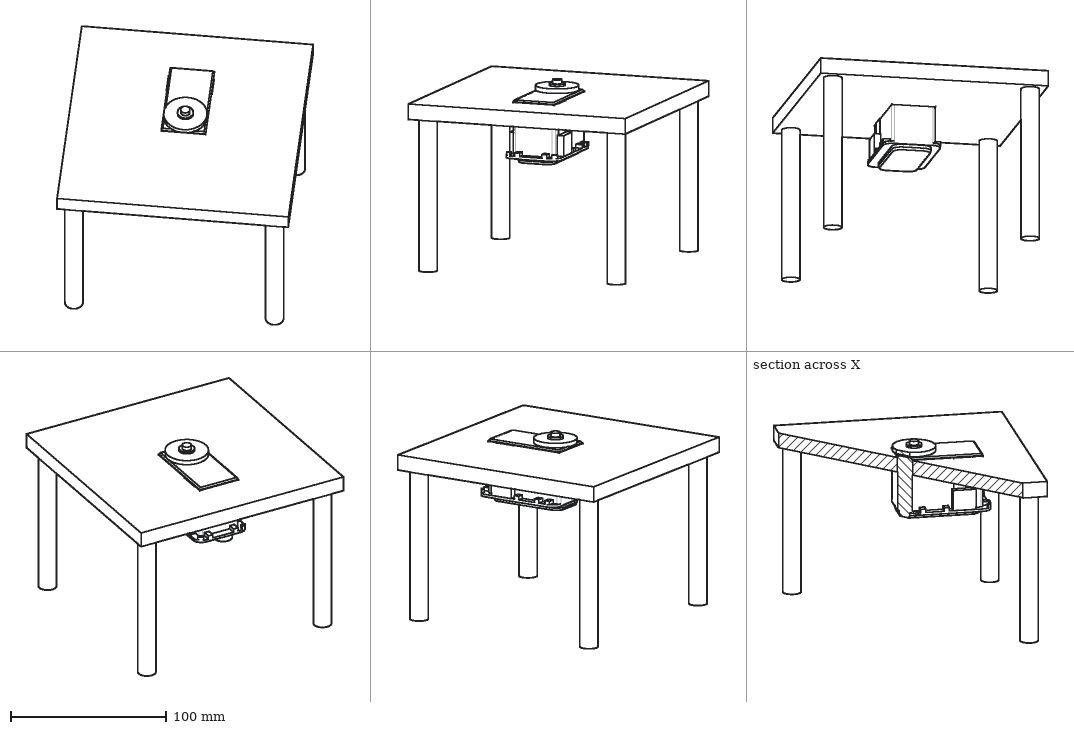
import cadquery as cq
import math

TURN = -45

TABLE_DIAGONAL = 212.1
TABLE_SIDE = TABLE_DIAGONAL / math.sqrt(2)
TOP_THICKNESS = 10.2
LEG_LENGTH = 100.0
LEG_RADIUS = 6.0
LEG_INSET = 10.0
TABLE_HEIGHT = LEG_LENGTH + TOP_THICKNESS

CASE_LENGTH = 54.7
CASE_WIDTH = 28.8
CASE_CENTER_X = -17.6
CASE_CORNER_RADIUS = 1.7
CASE_TOP_CHAMFER = 1.0
CASE_RISE = 1.5
CASE_TOP = TABLE_HEIGHT + CASE_RISE
CASE_BACK = CASE_CENTER_X - CASE_LENGTH / 2

FLANGE_BOTTOM = 74.0
FLANGE_THICKNESS = 1.7
FLANGE_TOP = FLANGE_BOTTOM + FLANGE_THICKNESS
FLANGE_SIDE_MARGIN = 4.5
FLANGE_BACK_MARGIN = 5.0
FLANGE_WIDTH = CASE_WIDTH + 2 * FLANGE_SIDE_MARGIN
FLANGE_LENGTH = CASE_LENGTH + FLANGE_BACK_MARGIN
FLANGE_BACK = CASE_BACK - FLANGE_BACK_MARGIN
CORNER_RADIUS = 6.4

COVER_LENGTH = 53
COVER_WIDTH = 25.9
COVER_HEIGHT = 3.6
COVER_CHAMFER_HEIGHT = 1.7
COVER_CHAMFER_INSET = 0.6

BLOCK_CENTER_X = -31.8
BLOCK_LENGTH = 15.0
BLOCK_PROJECTION = 4.2
BLOCK_TOP = 89.3
RIB_LENGTH = 12.5
RIB_PROJECTION = 0.5

TAB_HEIGHT = 2.3
TAB_LENGTH = 3.5
SIDE_TAB_CENTERS = (-20.2, -4.7, 3.5)
BACK_TAB_OFFSET = 9.3
CORNER_TAB_DEPTH = 2.5
CORNER_TAB_WIDTH = 4.5

SHAFT_X = -2.3
NECK_HEIGHT = 0.6
HORN_RADIUS = 14.0
HORN_THICKNESS = 3.0
COLLAR_RADIUS = 5.0
COLLAR_HEIGHT = 1.3
SHAFT_RADIUS = 3.0
SHAFT_HEIGHT = 2.5


def block(length, width, height, center_x, center_y, bottom):
    """Upright box placed by the centre of its footprint and its bottom level."""
    return (
        cq.Workplane("XY")
        .box(length, width, height, centered=(True, True, False))
        .translate((center_x, center_y, bottom))
    )


def rib_bar():
    """Bar across the case whose two ends form the ribs, reaching the table surface."""
    width = CASE_WIDTH + 2 * RIB_PROJECTION
    return block(RIB_LENGTH, width, TABLE_HEIGHT - BLOCK_TOP, BLOCK_CENTER_X, 0, BLOCK_TOP)


def make_table():
    top = block(TABLE_SIDE, TABLE_SIDE, TOP_THICKNESS, 0, 0, LEG_LENGTH)
    leg_spacing = TABLE_SIDE - 2 * LEG_INSET
    legs = (
        cq.Workplane("XY")
        .rect(leg_spacing, leg_spacing, forConstruction=True)
        .vertices()
        .circle(LEG_RADIUS)
        .extrude(LEG_LENGTH)
    )
    opening = block(CASE_LENGTH, CASE_WIDTH, TOP_THICKNESS, CASE_CENTER_X, 0, LEG_LENGTH)
    return top.union(legs).cut(opening).cut(rib_bar())


def make_case():
    height = CASE_TOP - FLANGE_BOTTOM
    case = block(CASE_LENGTH, CASE_WIDTH, height, CASE_CENTER_X, 0, FLANGE_BOTTOM)
    return case.edges("|Z").fillet(CASE_CORNER_RADIUS).faces(">Z").chamfer(CASE_TOP_CHAMFER)


def flange_slab(bottom, height):
    """Slab with the rounded outline of the flange."""
    center_x = FLANGE_BACK + FLANGE_LENGTH / 2
    slab = block(FLANGE_LENGTH, FLANGE_WIDTH, height, center_x, 0, bottom)
    return slab.edges("|Z").fillet(CORNER_RADIUS)


def make_cover():
    bottom = FLANGE_BOTTOM - COVER_HEIGHT
    cover = block(COVER_LENGTH, COVER_WIDTH, COVER_HEIGHT, CASE_CENTER_X, 0, bottom)
    cover = cover.edges("|Z").fillet(CORNER_RADIUS)
    return cover.faces("<Z").chamfer(COVER_CHAMFER_HEIGHT, COVER_CHAMFER_INSET)


def make_side_tabs():
    """Bars across the case, of which only the ends on the side ledges show."""
    return [block(TAB_LENGTH, FLANGE_WIDTH, TAB_HEIGHT, x, 0, FLANGE_TOP) for x in SIDE_TAB_CENTERS]


def make_back_tabs():
    center_x = FLANGE_BACK + FLANGE_BACK_MARGIN / 2
    return [
        block(FLANGE_BACK_MARGIN, TAB_LENGTH, TAB_HEIGHT, center_x, side * BACK_TAB_OFFSET, FLANGE_TOP)
        for side in (-1, 1)
    ]


def make_corner_tabs():
    """Tabs at the two back corners, trimmed to the rounded flange outline."""
    center_x = FLANGE_BACK + CORNER_TAB_DEPTH / 2
    center_y = (FLANGE_WIDTH - CORNER_TAB_WIDTH) / 2
    outline = flange_slab(FLANGE_TOP, TAB_HEIGHT)
    return [
        block(CORNER_TAB_DEPTH, CORNER_TAB_WIDTH, TAB_HEIGHT, center_x, side * center_y, FLANGE_TOP)
        .intersect(outline)
        for side in (-1, 1)
    ]


def make_output_stack():
    levels = (
        (SHAFT_RADIUS, NECK_HEIGHT),
        (HORN_RADIUS, HORN_THICKNESS),
        (COLLAR_RADIUS, COLLAR_HEIGHT),
        (SHAFT_RADIUS, SHAFT_HEIGHT),
    )
    stack = []
    bottom = CASE_TOP
    for radius, height in levels:
        stack.append(cq.Workplane("XY", origin=(SHAFT_X, 0, bottom)).circle(radius).extrude(height))
        bottom += height
    return stack


def make_side_blocks():
    """Block across the case whose two ends stand on the side ledges."""
    width = CASE_WIDTH + 2 * BLOCK_PROJECTION
    return block(BLOCK_LENGTH, width, BLOCK_TOP - FLANGE_TOP, BLOCK_CENTER_X, 0, FLANGE_TOP)


def make_servo():
    pieces = [
        flange_slab(FLANGE_BOTTOM, FLANGE_THICKNESS),
        make_cover(),
        make_side_blocks(),
        rib_bar(),
        *make_side_tabs(),
        *make_back_tabs(),
        *make_corner_tabs(),
        *make_output_stack(),
    ]
    servo = make_case()
    for piece in pieces:
        servo = servo.union(piece)
    return servo


def turned(body):
    return body.rotate((0, 0, 0), (0, 0, 1), TURN)


table = turned(make_table())
servo = turned(make_servo())

result = cq.Compound.makeCompound([table.val(), servo.val()])